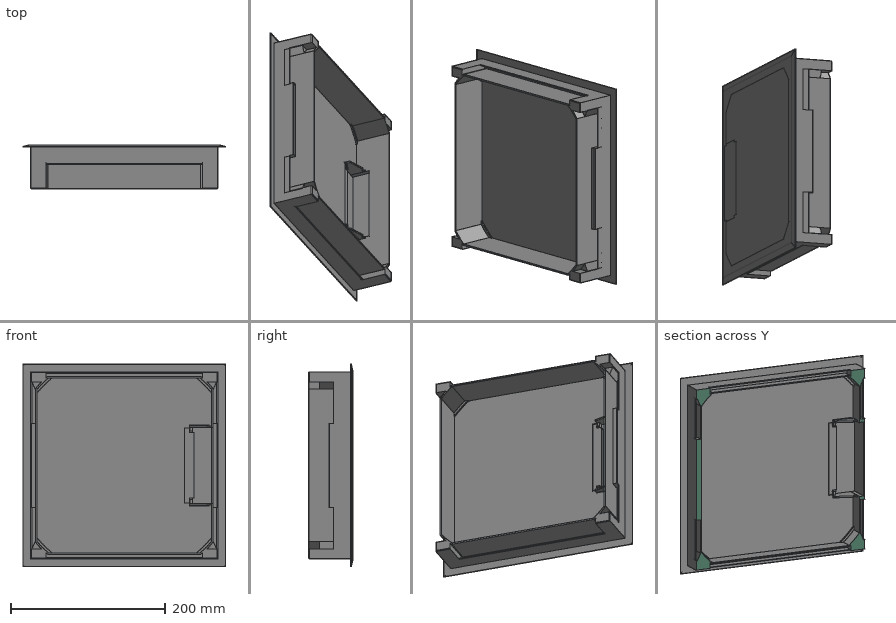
import cadquery as cq
import math

box_depth = 57.3

flange_size = 263.0
flange_thickness = 3.0
flange_bevel_width = 8.0
flange_bevel_depth = 2.0
frame_size = 243.0
frame_half = frame_size / 2
frame_wall = 1.0
side_pocket_wall = 1.4
edge_chamfer = 1.0

wide_window_half = 101.5
wide_window_depth = 24.2
side_window_half = 108.5
side_window_depth = wide_window_depth + edge_chamfer
sill_half = 54.5
sill_depth = 30.2
corner_fill_depth = 43.2

gap_depth = 17.5
gap_draft = 1.0

tub_half = 115.5
tub_wall = 2.0
tub_inner_half = tub_half - tub_wall
tub_corner_leg = 16.5
tub_corner_bow = 1.0
tub_inner_corner_leg = 15.0
tub_inner_corner_bow = 0.5

floor_depth = 10.3
corner_ledge_extra_leg = 4.5
corner_ledge_height = 2.0
lid_corner_leg = tub_inner_corner_leg + corner_ledge_extra_leg
corner_ledge_depth = floor_depth + corner_ledge_height

flap_half = 49.5
flap_plate_thickness = 2.5
niche_x = 119.5
niche_height = 18.5
niche_depth = floor_depth + niche_height

lip_inner_x = 78.5
lip_outer_x = 90.5
lip_half = 48.5
lip_narrow_half = 42.5
lip_sink = 1.8
lip_depth = floor_depth - lip_sink

fin_thickness = 2.0
fin_flare = 1.0
fin_tip_x = 84.5
fin_tip_height = 4.7
fin_crest_x = 107.5
fin_crest_height = 12.6
fin_notch_x = 110.2
fin_notch_height = 9.8
fin_wall_height = 13.3

catch_width = 3.0
catch_sink = 0.8
catch_depth = floor_depth - catch_sink
catch_head_width = 4.0
catch_head_length = 2.0


def block(x_range, depth_range, z_range):
    """Box between two X values, two depths and two Z values."""
    (x0, x1), (d0, d1), (z0, z1) = x_range, depth_range, z_range
    return cq.Workplane("XY").box(x1 - x0, d1 - d0, z1 - z0, centered=False).translate((x0, -d1, z0))


def from_back(start_depth):
    """XZ sketch plane at a depth; extrusions run on toward the open side."""
    return cq.Workplane("XZ", origin=(0, -start_depth, 0))


def bowed_octagon(half, corner_leg, bow, start_depth, end_depth):
    """Square prism whose corners are cut by shallow arcs bulging outward."""
    end = half - corner_leg
    middle = half - corner_leg / 2 + bow / math.sqrt(2)
    return (
        from_back(start_depth)
        .moveTo(half, -end)
        .lineTo(half, end)
        .threePointArc((middle, middle), (end, half))
        .lineTo(-end, half)
        .threePointArc((-middle, middle), (-half, end))
        .lineTo(-half, -end)
        .threePointArc((-middle, -middle), (-end, -half))
        .lineTo(end, -half)
        .threePointArc((middle, -middle), (half, -end))
        .close()
        .extrude(end_depth - start_depth)
    )


def cross_section_cut(half_length, outline):
    """Prism along X, centred on X = 0, from (depth, Z) points."""
    points = [(-depth, z) for depth, z in outline]
    return cq.Workplane("YZ", origin=(-half_length, 0, 0)).polyline(points).close().extrude(2 * half_length)


def wide_window():
    """Window through the +Z side; behind its bevelled sill a drafted gap runs down along the tub."""
    wall_inner_z = frame_half - frame_wall
    return cross_section_cut(
        wide_window_half,
        [
            (box_depth, frame_half),
            (wide_window_depth, frame_half),
            (wide_window_depth + edge_chamfer, wall_inner_z),
            (gap_depth, wall_inner_z - gap_draft),
            (gap_depth, tub_half - tub_corner_leg),
            (box_depth, tub_half - tub_corner_leg),
        ],
    )


def sill_window():
    """Shallow middle window through the +Z side, above a solid bevelled sill."""
    return cross_section_cut(
        sill_half,
        [
            (box_depth, frame_half),
            (sill_depth, frame_half),
            (sill_depth + edge_chamfer, frame_half - edge_chamfer),
            (sill_depth + edge_chamfer, tub_half - tub_corner_leg),
            (box_depth, tub_half - tub_corner_leg),
        ],
    )


def around_y(shape, angle):
    """Turn a shape about the centre axis of the box."""
    return shape.rotate((0, 0, 0), (0, 1, 0), angle)


def side_pocket():
    """Window beside the sill of the -X side, upper half, with the gap behind its thin wall."""
    gap = (
        from_back(gap_depth)
        .moveTo(-frame_half + side_pocket_wall, sill_half)
        .lineTo(-frame_half + side_pocket_wall, side_window_half)
        .lineTo(-tub_half, tub_half - tub_corner_leg)
        .lineTo(-tub_half, sill_half)
        .close()
        .extrude(box_depth - gap_depth)
    )
    wall_opening = block(
        (-frame_half, -frame_half + side_pocket_wall),
        (side_window_depth, box_depth),
        (sill_half, side_window_half),
    )
    corner_relief = block(
        (-frame_half, -wide_window_half), (corner_fill_depth, box_depth), (sill_half, side_window_half)
    )
    return gap.union(wall_opening).union(corner_relief)


def make_frame():
    flange = (
        from_back(0)
        .rect(flange_size, flange_size)
        .extrude(flange_thickness)
        .faces(">Y")
        .chamfer(flange_bevel_depth, flange_bevel_width)
    )
    body = (
        from_back(0)
        .rect(2 * frame_half, 2 * frame_half)
        .extrude(box_depth)
        .faces("<Y")
        .chamfer(edge_chamfer)
    )
    frame = flange.union(body)
    frame = frame.cut(bowed_octagon(tub_half, tub_corner_leg, tub_corner_bow, 0, box_depth))
    for angle in (0, 180):
        frame = frame.cut(around_y(wide_window(), angle))
    for angle in (90, 270):
        frame = frame.cut(around_y(sill_window(), angle))
    upper_left = side_pocket()
    lower_left = upper_left.mirror("XY")
    for pocket in (upper_left, lower_left):
        frame = frame.cut(pocket).cut(pocket.mirror("YZ"))
    return frame


def lid_outline(end_depth):
    """Outline of the lid, from the back face to a depth."""
    return bowed_octagon(tub_inner_half, lid_corner_leg, tub_inner_corner_bow, 0, end_depth)


def make_tub():
    tub = bowed_octagon(tub_half, tub_corner_leg, tub_corner_bow, 0, box_depth)
    cavity = bowed_octagon(
        tub_inner_half, tub_inner_corner_leg, tub_inner_corner_bow, corner_ledge_depth, box_depth
    )
    return tub.cut(lid_outline(corner_ledge_depth)).cut(cavity)


def make_housing():
    niche = block((tub_inner_half, niche_x), (0, niche_depth), (-flap_half, flap_half))
    return make_frame().union(make_tub()).cut(niche)


def make_lid():
    end_half = flap_half + fin_thickness
    flap_opening = block((fin_tip_x, tub_inner_half), (0, floor_depth), (-end_half, end_half))
    lip_opening = block((lip_inner_x, fin_tip_x), (0, floor_depth), (-lip_half, lip_half))
    return lid_outline(floor_depth).cut(flap_opening).cut(lip_opening)


def flap_fin():
    """Upper end wall of the flap, rising through the lid as a fin that flares at its foot."""
    fin = (
        cq.Workplane("XY", origin=(0, 0, flap_half))
        .moveTo(fin_tip_x, 0)
        .lineTo(fin_tip_x, -floor_depth - fin_tip_height)
        .lineTo(fin_crest_x, -floor_depth - fin_crest_height)
        .lineTo(fin_notch_x, -floor_depth - fin_notch_height)
        .lineTo(tub_inner_half, -floor_depth - fin_wall_height)
        .lineTo(tub_inner_half, 0)
        .close()
        .extrude(fin_thickness)
    )
    outer_z = flap_half + fin_thickness
    flare = (
        cq.Workplane("YZ", origin=(fin_tip_x, 0, 0))
        .moveTo(-floor_depth, outer_z)
        .lineTo(-floor_depth, outer_z + fin_flare)
        .lineTo(-floor_depth - fin_tip_height, outer_z)
        .close()
        .extrude(fin_notch_x - fin_tip_x)
    )
    return fin.union(flare)


def flap_catch():
    """Upper catch: a low bar from the lip to the fin with a raised head at the lip."""
    bar_end_x = fin_tip_x + catch_head_width
    bar = block((bar_end_x - catch_width, bar_end_x), (0, catch_depth), (lip_narrow_half, flap_half))
    head = block(
        (fin_tip_x, bar_end_x), (0, floor_depth), (lip_narrow_half, lip_narrow_half + catch_head_length)
    )
    return bar.union(head)


def make_flap():
    plate = block((fin_tip_x, niche_x), (0, flap_plate_thickness), (-flap_half, flap_half))
    wide_lip = block((lip_inner_x, fin_tip_x), (0, lip_depth), (-lip_half, lip_half))
    narrow_lip = block((fin_tip_x, lip_outer_x), (0, lip_depth), (-lip_narrow_half, lip_narrow_half))
    flap = plate.union(wide_lip).union(narrow_lip)
    upper_end = flap_fin().union(flap_catch())
    return flap.union(upper_end).union(upper_end.mirror("XY"))


housing = make_housing()
lid = make_lid()
flap = make_flap()

result = cq.Compound.makeCompound([housing.solids().val(), lid.solids().val(), flap.solids().val()])